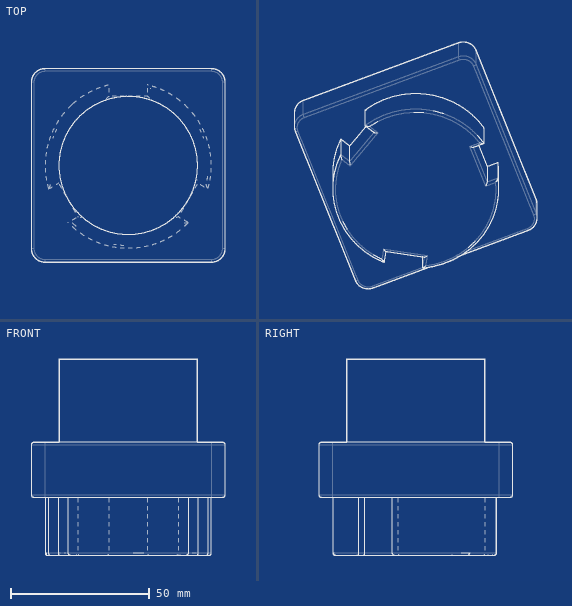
import cadquery as cq

total_height = 71
plate_side = 70.0
plate_thickness = 20.0
plate_corner_radius = 5
edge_radius = 1.0

post_diameter = 50.0
post_height = 29.95

base_radius = 29.95
base_height = total_height - post_height - plate_thickness
slot_count = 3
first_slot_angle = 90
slot_width = 14.0
slot_floor_distance = post_diameter / 2
slot_cut_depth = 7.1


def make_slot_cutter(center_angle):
    """Slot with parallel walls and a flat floor, running the full base height."""
    return (
        cq.Workplane("XY")
        .box(slot_cut_depth, slot_width, base_height, centered=(False, True, False))
        .translate((slot_floor_distance, 0, 0))
        .rotate((0, 0, 0), (0, 0, 1), center_angle)
    )


def make_base():
    base = cq.Workplane("XY").circle(base_radius).extrude(base_height)
    for index in range(slot_count):
        base = base.cut(make_slot_cutter(first_slot_angle + index * 360 / slot_count))
    return base.faces("<Z").edges().fillet(edge_radius)


def make_plate():
    plate = (
        cq.Workplane("XY")
        .workplane(offset=base_height)
        .rect(plate_side, plate_side)
        .extrude(plate_thickness)
    )
    plate = plate.edges("|Z").fillet(plate_corner_radius)
    return plate.faces("<Z or >Z").edges().fillet(edge_radius)


def make_post():
    return (
        cq.Workplane("XY")
        .workplane(offset=base_height + plate_thickness)
        .circle(post_diameter / 2)
        .extrude(post_height)
    )


result = make_base().union(make_plate()).union(make_post())